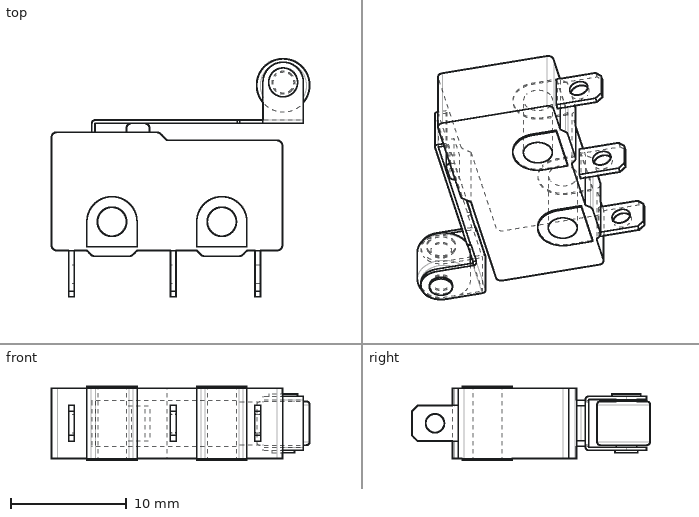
import cadquery as cq


case_length = 20.0
case_height = 10.25
case_thickness = 6.1
shoulder_x = 10.0
shoulder_drop = 0.7
case_corner = 0.5

mount_xs = (5.25, 14.75)
mount_y = 2.5
mount_hole_diameter = 2.5
mount_half_width = 2.17
pad_bottom_y = 0.35
pad_rise = 0.15
foot_drop = 0.5
foot_corner = 0.5

terminal_xs = (1.75, 10.55, 17.85)
terminal_thickness = 0.5
terminal_width = 3.1
terminal_length = 4.0
terminal_tip_chamfer = 0.5
terminal_hole_diameter = 1.6
terminal_hole_y = -2.0

sheet_thickness = 0.3
lever_left = 3.5
lever_underside_y = 11.0
lever_width = 4.0
neck_start_x = 16.1
neck_taper_length = 0.2
neck_inset = 0.15
lever_top_y = lever_underside_y + sheet_thickness

fork_x = 20.05
fork_y = 14.55
fork_radius = 1.75
fork_outer_width = 4.7
fork_inner_width = fork_outer_width - 2 * sheet_thickness
pin_diameter = 1.8
pin_length = 5.1
upper_head_diameter = 2.5
lower_head_diameter = 2.0

roller_y = 14.3
roller_diameter = 4.6
roller_width = 3.8
roller_edge = 0.3

plunger_x = 7.5
plunger_length = 2.0
plunger_width = 3.0
plunger_corner = 0.4


def slab(outline, thickness):
    """Extrude a closed XY outline evenly about Z = 0."""
    return outline.extrude(thickness / 2, both=True)


def disc(x, y, diameter, z_low, z_high):
    """Round disc along Z between two heights."""
    return cq.Workplane("XY", origin=(x, y, z_low)).circle(diameter / 2).extrude(z_high - z_low)


def make_case():
    step_y = case_height - shoulder_drop
    outline = cq.Workplane("XY").polyline([
        (0, 0),
        (case_length, 0),
        (case_length, step_y),
        (shoulder_x, step_y),
        (shoulder_x - shoulder_drop, case_height),
        (0, case_height),
    ]).close()
    case = slab(outline, case_thickness)
    case = case.edges("|Z and (<X or >X)").fillet(case_corner)
    shoulder = cq.selectors.NearestToPointSelector((shoulder_x - shoulder_drop, case_height, 0))
    return case.edges("|Z").edges(shoulder).fillet(case_corner)


def make_foot(x):
    outline = cq.Workplane("XY").polyline([
        (x - mount_half_width, 0),
        (x - mount_half_width + foot_drop, -foot_drop),
        (x + mount_half_width - foot_drop, -foot_drop),
        (x + mount_half_width, 0),
    ]).close()
    return slab(outline, case_thickness).edges("|Z and <Y").fillet(foot_corner)


def make_pads(x):
    """Arched pads, proud of both large faces of the case."""
    outline = (
        cq.Workplane("XY")
        .moveTo(x - mount_half_width, pad_bottom_y)
        .lineTo(x + mount_half_width, pad_bottom_y)
        .lineTo(x + mount_half_width, mount_y)
        .threePointArc((x, mount_y + mount_half_width), (x - mount_half_width, mount_y))
        .close()
    )
    return slab(outline, case_thickness + 2 * pad_rise)


def make_terminal(x):
    blade = (
        cq.Workplane("XY")
        .box(terminal_thickness, terminal_length, terminal_width)
        .translate((x, -terminal_length / 2, 0))
        .edges("|X and <Y").chamfer(terminal_tip_chamfer)
    )
    hole = (
        cq.Workplane("YZ", origin=(x, terminal_hole_y, 0))
        .circle(terminal_hole_diameter / 2)
        .extrude(terminal_thickness, both=True)
    )
    return blade.cut(hole)


def make_strip():
    """Lever strip with its leg bent down to the case and a neck ahead of the fork."""
    lever_right = fork_x + fork_radius
    outline = cq.Workplane("XY").polyline([
        (lever_left, case_height),
        (lever_left, lever_top_y),
        (lever_right, lever_top_y),
        (lever_right, lever_underside_y),
        (lever_left + sheet_thickness, lever_underside_y),
        (lever_left + sheet_thickness, case_height),
    ]).close()
    strip = slab(outline, lever_width)
    bend = cq.selectors.NearestToPointSelector((lever_left, lever_top_y, 0))
    strip = strip.edges("|Z").edges(bend).fillet(sheet_thickness)

    half_width = lever_width / 2
    trim = (
        cq.Workplane("XZ", origin=(0, lever_top_y, 0))
        .polyline([
            (neck_start_x, half_width),
            (neck_start_x + neck_taper_length, half_width - neck_inset),
            (lever_right, half_width - neck_inset),
            (lever_right, half_width),
        ])
        .close()
        .extrude(sheet_thickness)
    )
    return strip.cut(trim).cut(trim.mirror("XY"))


def make_fork():
    """Channel with round-ended arms on both sides of the roller."""
    left = fork_x - fork_radius
    right = fork_x + fork_radius
    outline = (
        cq.Workplane("XY")
        .moveTo(left, lever_underside_y)
        .lineTo(right, lever_underside_y)
        .lineTo(right, fork_y)
        .threePointArc((fork_x, fork_y + fork_radius), (left, fork_y))
        .close()
    )
    fork = slab(outline, fork_outer_width).edges("|X and <Y").fillet(sheet_thickness)
    gap_height = fork_y + fork_radius - lever_top_y
    gap = (
        cq.Workplane("XY")
        .box(2 * fork_radius, gap_height, fork_inner_width)
        .translate((fork_x, lever_top_y + gap_height / 2, 0))
    )
    return fork.cut(gap)


def make_pin():
    head_z = fork_outer_width / 2
    end_z = pin_length / 2
    shank = disc(fork_x, fork_y, pin_diameter, -head_z, head_z)
    upper_head = disc(fork_x, fork_y, upper_head_diameter, head_z, end_z)
    lower_head = disc(fork_x, fork_y, lower_head_diameter, -end_z, -head_z)
    return shank.union(upper_head).union(lower_head)


def make_roller():
    roller = disc(fork_x, roller_y, roller_diameter, -roller_width / 2, roller_width / 2)
    return roller.edges("%CIRCLE").fillet(roller_edge)


def make_plunger():
    height = lever_underside_y - case_height
    return (
        cq.Workplane("XY")
        .box(plunger_length, height, plunger_width)
        .translate((plunger_x, case_height + height / 2, 0))
        .edges("|Z and >Y").fillet(plunger_corner)
    )


result = make_case()
for mount_x in mount_xs:
    result = result.union(make_foot(mount_x)).union(make_pads(mount_x))
hole_end = case_thickness / 2 + pad_rise
for mount_x in mount_xs:
    result = result.cut(disc(mount_x, mount_y, mount_hole_diameter, -hole_end, hole_end))
for terminal_x in terminal_xs:
    result = result.union(make_terminal(terminal_x))
for added_part in (make_plunger(), make_strip(), make_fork(), make_roller(), make_pin()):
    result = result.union(added_part)